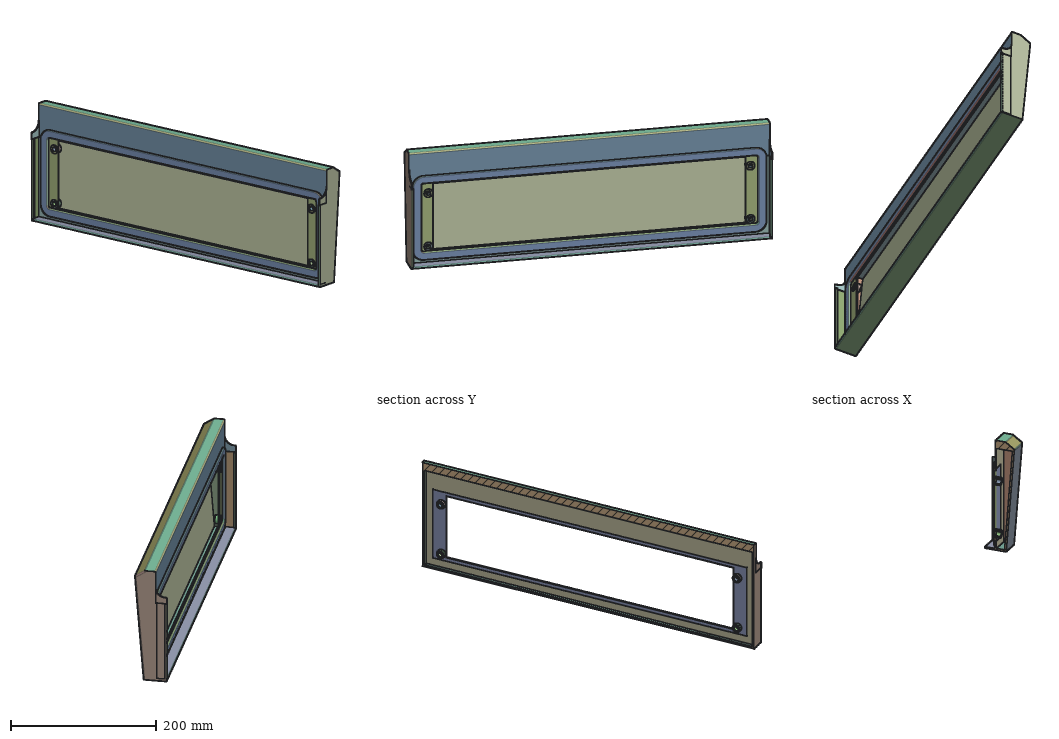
import cadquery as cq
import math

LENGTH = 510.0
HEIGHT = 165.0
DEPTH = 45.5

FACE_Y = 16.0
BACK_BOTTOM_Y = 33.0
SHOULDER_Z = 156.0
TOP_BACK_Y = 31.5
EDGE_ROUND = 1.8

FLOOR_Y = 15.0
POCKET_TOP_Z = 117.5
LIP = 3.15
SIDE_WALL = 1.5
CHEEK_WALL = 1.0
CHEEK_ARC = 13.5
CHEEK_NOSE = 2.0
CHEEK_SHOULDER_Z = 127.0

SHELL = 3.5

PANEL_WIDTH = 500.0
PANEL_BOTTOM_Z = 6.5
PANEL_TOP_Z = 130.5
PANEL_CORNER = 15.5
PANEL_RAISE = 1.5
PANEL_EDGE = 1.0
SHEET = 2.0
RECESS_DEPTH = 3.0
RECESS_ROUND = 1.5
RECESS_WIDTH = 475.0
RECESS_BOTTOM_Z = 19.0
RECESS_TOP_Z = 119.5
RECESS_CORNER = 3.0
TRAY_WALL = 4.0
WINDOW_WIDTH = 441.5
WINDOW_BOTTOM_Z = 20.5
WINDOW_TOP_Z = 118.0

BUSHING_X = 227.5
BUSHING_LOW_Z = 25.5
BUSHING_HIGH_Z = 104.0
BUSHING_RADIUS = 6.0
BUSHING_BORE = 3.0
BUSHING_LENGTH = 7.5

HALF = LENGTH / 2
PANEL_FRONT_Y = FLOOR_Y - PANEL_RAISE
RECESS_Y = PANEL_FRONT_Y + RECESS_DEPTH
TRAY_BACK_Y = RECESS_Y + SHEET
TRAY_WIDTH = RECESS_WIDTH + 2 * TRAY_WALL
TRAY_BOTTOM_Z = RECESS_BOTTOM_Z - TRAY_WALL
TRAY_TOP_Z = RECESS_TOP_Z + TRAY_WALL


def block(width, y_front, y_back, z_bottom, z_top):
    """Box centred on x = 0 between the given y and z limits."""
    box = cq.Workplane("XY").box(width, y_back - y_front, z_top - z_bottom, centered=(True, False, False))
    return box.translate((0, y_front, z_bottom))


def back_y(z):
    """Depth of the leaning back at height z."""
    return BACK_BOTTOM_Y + (DEPTH - BACK_BOTTOM_Y) * z / SHOULDER_Z


def extrude_profile(profile, width):
    """Closed YZ profile as a prism centred on x = 0."""
    return profile.extrude(width / 2, both=True)


def outer_block():
    """Outside of the housing: a leaning block with low side cheeks in front of its face."""
    cos45 = math.sqrt(0.5)
    arc_center_y = FACE_Y - CHEEK_ARC
    arc_center_z = CHEEK_SHOULDER_Z + CHEEK_ARC
    nose_center_z = CHEEK_SHOULDER_Z - CHEEK_NOSE
    profile = (
        cq.Workplane("YZ")
        .moveTo(0, 0)
        .lineTo(BACK_BOTTOM_Y, 0)
        .lineTo(DEPTH, SHOULDER_Z)
        .lineTo(TOP_BACK_Y, HEIGHT)
        .lineTo(FACE_Y, HEIGHT)
        .lineTo(FACE_Y, arc_center_z)
        .threePointArc(
            (arc_center_y + CHEEK_ARC * cos45, arc_center_z - CHEEK_ARC * cos45),
            (arc_center_y, CHEEK_SHOULDER_Z),
        )
        .lineTo(CHEEK_NOSE, CHEEK_SHOULDER_Z)
        .threePointArc((CHEEK_NOSE * (1 - cos45), nose_center_z + CHEEK_NOSE * cos45), (0, nose_center_z))
        .close()
    )
    body = extrude_profile(profile, LENGTH)
    margin = EDGE_ROUND
    top_zone = cq.selectors.BoxSelector(
        (-HALF, 0, SHOULDER_Z - margin), (HALF, DEPTH + margin, HEIGHT + margin))
    long_edges = body.edges("|X").edges(top_zone)
    sloping_faces = body.faces(cq.selectors.BoxSelector((-HALF, TOP_BACK_Y, 0), (HALF, DEPTH, HEIGHT)))
    return body.newObject(long_edges.vals() + sloping_faces.edges().vals()).fillet(EDGE_ROUND)


def rim():
    """Half-round bead along both sides and the bottom of the pocket, mitred at the corners."""
    radius = LIP / 2
    center_x = HALF - radius
    path = (
        cq.Workplane("XZ", origin=(0, radius, 0))
        .moveTo(-center_x, POCKET_TOP_Z)
        .lineTo(-center_x, radius)
        .lineTo(center_x, radius)
        .lineTo(center_x, POCKET_TOP_Z)
    )
    section = (
        cq.Workplane("XY", origin=(-center_x, radius, POCKET_TOP_Z))
        .moveTo(radius, 0)
        .threePointArc((0, -radius), (-radius, 0))
        .lineTo(-radius, radius)
        .lineTo(radius, radius)
        .close()
    )
    return section.sweep(path, transition="right")


def cavity():
    """Hollow behind the front wall, following the leaning back."""
    front = TRAY_BACK_Y
    bottom = SHELL
    top = SHOULDER_Z - SHELL
    profile = cq.Workplane("YZ").polyline([
        (front, bottom),
        (back_y(bottom) - SHELL, bottom),
        (back_y(top) - SHELL, top),
        (front, top),
    ]).close()
    return extrude_profile(profile, LENGTH - 2 * SHELL)


def make_housing():
    """Leaning hollow shell with a rimmed pocket and an opening for the panel."""
    body = outer_block()
    body = body.cut(block(LENGTH, 0, LIP, 0, POCKET_TOP_Z))
    body = body.cut(block(LENGTH - 2 * SIDE_WALL, 0, FLOOR_Y, LIP, POCKET_TOP_Z))
    body = body.cut(block(LENGTH - 2 * CHEEK_WALL, 0, FACE_Y, POCKET_TOP_Z, SHOULDER_Z))
    body = body.union(rim())
    body = body.cut(cavity())
    return body.cut(panel_outline()).cut(panel_tray())


def panel_outline():
    """Rounded flange plate of the panel, let into the face of the housing."""
    plate = block(PANEL_WIDTH, PANEL_FRONT_Y, FACE_Y, PANEL_BOTTOM_Z, PANEL_TOP_Z)
    return plate.edges("|Y").fillet(PANEL_CORNER)


def panel_tray():
    """Part of the panel that fills the opening in the housing."""
    return block(TRAY_WIDTH, FACE_Y, TRAY_BACK_Y, TRAY_BOTTOM_Z, TRAY_TOP_Z)


def bushing_places():
    """Front-face centres of the four bushings."""
    return [(x, RECESS_Y, z) for x in (-BUSHING_X, BUSHING_X) for z in (BUSHING_LOW_Z, BUSHING_HIGH_Z)]


def bushing_cylinder(place, radius):
    """Cylinder reaching back from the recessed floor of the panel."""
    axis = cq.Vector(0, 1, 0)
    return cq.Workplane(cq.Solid.makeCylinder(radius, BUSHING_LENGTH, cq.Vector(*place), axis))


def make_panel():
    """Raised frame with a recess, a window in its floor and holes for the bushings."""
    panel = panel_outline().faces("<Y").edges().fillet(PANEL_EDGE).union(panel_tray())
    recess = block(RECESS_WIDTH, PANEL_FRONT_Y, RECESS_Y, RECESS_BOTTOM_Z, RECESS_TOP_Z)
    panel = panel.cut(recess.edges("|Y").fillet(RECESS_CORNER))
    opening = cq.selectors.BoxSelector(
        (-TRAY_WIDTH / 2, PANEL_FRONT_Y - SHEET, TRAY_BOTTOM_Z),
        (TRAY_WIDTH / 2, PANEL_FRONT_Y + PANEL_EDGE / 2, TRAY_TOP_Z),
    )
    panel = panel.edges(opening).fillet(RECESS_ROUND)
    panel = panel.cut(block(WINDOW_WIDTH, RECESS_Y, TRAY_BACK_Y, WINDOW_BOTTOM_Z, WINDOW_TOP_Z))
    for place in bushing_places():
        panel = panel.cut(bushing_cylinder(place, BUSHING_RADIUS))
    return panel


def make_bushing(place):
    """Tube set flush into the panel floor."""
    return bushing_cylinder(place, BUSHING_RADIUS).cut(bushing_cylinder(place, BUSHING_BORE))


housing = make_housing()
panel = make_panel()
bushings = [make_bushing(place) for place in bushing_places()]

result = cq.Compound.makeCompound([
    housing.solids().val(),
    panel.solids().val(),
    *[bushing.solids().val() for bushing in bushings],
])